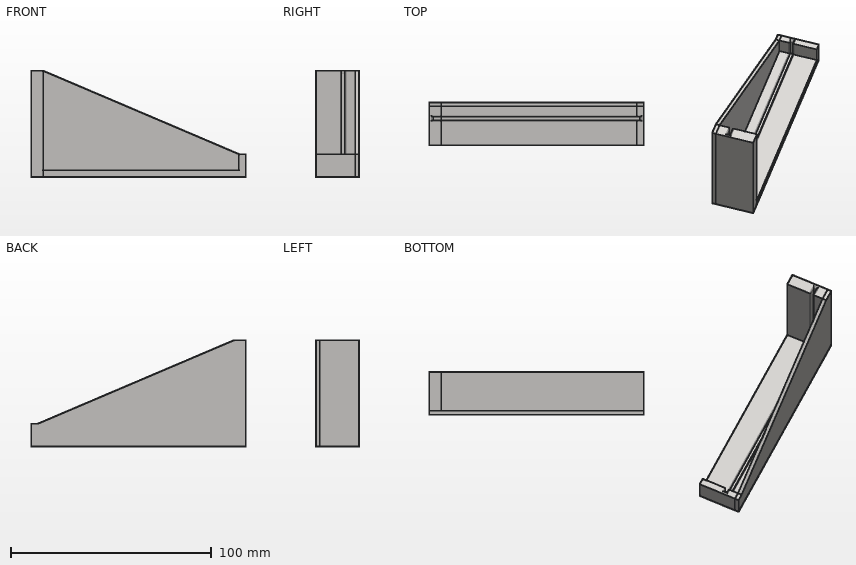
import cadquery as cq

length = 107.0
depth = 21.51
height = 53.0

back_thickness = 2.0
post_thickness = 6.0
floor_thickness = 3.5
lip_thickness = 3.5
lip_height = 11.5
inner_depth = depth - back_thickness
lip_x = length - lip_thickness

groove_width = 1.7
groove_back_offset = 7.2
groove_end_margin = 2.0
groove_floor_z = 2.1
side_round = 0.5
end_round = 1.0
groove_y_max = depth - groove_back_offset
groove_y_min = groove_y_max - groove_width
groove_x_min = groove_end_margin
groove_x_max = length - groove_end_margin

pick_margin = 0.05


def box_between(low, high):
    """Box spanning two opposite corners."""
    size = [b - a for a, b in zip(low, high)]
    return cq.Workplane("XY").box(*size, centered=False).translate(low)


def plate_between(outline, y_min, y_max):
    """Plate with an XZ outline, filling the Y range."""
    return cq.Workplane("XZ", origin=(0, y_min, 0)).polyline(outline).close().extrude(y_min - y_max)


def edges_within(part, low, high):
    """Edges of the part that lie wholly inside the box, widened by the pick margin."""
    low_corner = [value - pick_margin for value in low]
    high_corner = [value + pick_margin for value in high]
    return part.edges(cq.selectors.BoxSelector(low_corner, high_corner, boundingbox=True)).vals()


def round_edges(part, edge_groups):
    """Fillet all groups in one pass, so that edges of unequal radius blend where they meet."""
    builder = cq.occ_impl.shapes.BRepFilletAPI_MakeFillet(part.val().wrapped)
    for edges, radius in edge_groups:
        for edge in edges:
            builder.Add(radius, edge.wrapped)
    return cq.Workplane(cq.Shape.cast(builder.Shape()))


def make_back_plate():
    """Full-height plate with a top edge that slopes from the post down to the lip."""
    outline = [
        (0, 0),
        (length, 0),
        (length, lip_height),
        (lip_x, lip_height),
        (post_thickness, height),
        (0, height),
    ]
    return plate_between(outline, inner_depth, depth)


def make_grooved_channel():
    """Post, floor and lip in one piece, with the panel groove cut and its mouth rounded."""
    outline = [
        (0, 0),
        (length, 0),
        (length, lip_height),
        (lip_x, lip_height),
        (lip_x, floor_thickness),
        (post_thickness, floor_thickness),
        (post_thickness, height),
        (0, height),
    ]
    channel = plate_between(outline, 0, inner_depth)
    groove = box_between(
        (groove_x_min, groove_y_min, groove_floor_z),
        (groove_x_max, groove_y_max, height),
    )
    channel = channel.cut(groove)

    long_edges = []
    for side_y in (groove_y_min, groove_y_max):
        low = (groove_x_min, side_y, floor_thickness)
        high = (groove_x_max, side_y, height)
        long_edges += edges_within(channel, low, high)

    end_edges = []
    for end_x, end_z in ((groove_x_min, height), (groove_x_max, lip_height)):
        low = (end_x, groove_y_min, end_z)
        high = (end_x, groove_y_max, end_z)
        end_edges += edges_within(channel, low, high)

    return round_edges(channel, ((long_edges, side_round), (end_edges, end_round)))


channel = make_grooved_channel()
post_space = box_between((0, 0, 0), (post_thickness, inner_depth, height))

back_plate = make_back_plate()
post = channel.intersect(post_space).solids()
floor_with_lip = channel.cut(post_space).solids()

result = cq.Compound.makeCompound([back_plate.val(), post.val(), floor_with_lip.val()])